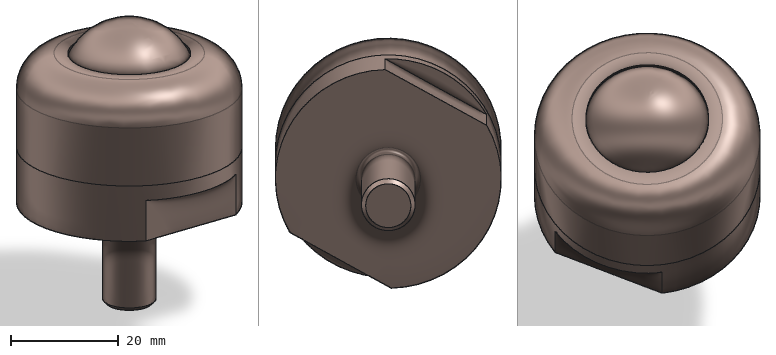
import cadquery as cq
import math

body_diameter = 42.0
ball_top_z = 56.0
ball_radius = 12.7
stud_radius = 5.0
stud_length = 20.0
tip_chamfer = 0.8
root_fillet = 1.0
base_height = 11.0
flat_height = 8.0
flat_distance = 18.0
cap_height = 18.55
cap_fillet = 7.0
opening_radius = 11.4

body_radius = body_diameter / 2
base_top_z = stud_length + base_height
cap_top_z = base_top_z + cap_height
ball_center_z = ball_top_z - ball_radius
seat_edge_z = ball_center_z + math.sqrt(ball_radius**2 - opening_radius**2)


def make_ball():
    return cq.Workplane("XY").sphere(ball_radius).translate((0, 0, ball_center_z))


def make_stud():
    """Revolved stud with a chamfered tip and a concave fillet under the base."""
    fillet_offset = root_fillet * (1 - math.sqrt(0.5))
    fillet_middle = (stud_radius + fillet_offset, stud_length - fillet_offset)
    fillet_end = (stud_radius + root_fillet, stud_length)
    return (
        cq.Workplane("XZ")
        .lineTo(stud_radius - tip_chamfer, 0)
        .lineTo(stud_radius, tip_chamfer)
        .lineTo(stud_radius, stud_length - root_fillet)
        .threePointArc(fillet_middle, fillet_end)
        .lineTo(0, stud_length)
        .close()
        .revolve(360, (0, 0, 0), (0, 1, 0))
    )


def make_base(ball):
    """Round base with two wrench flats, its stud, and a seat for the ball."""
    drum = cq.Workplane("XY").workplane(offset=stud_length).circle(body_radius).extrude(base_height)
    flat_depth = body_radius - flat_distance
    for side in (-1, 1):
        flat_cut = cq.Workplane("XY").box(
            flat_depth, body_diameter, flat_height, centered=(True, True, False)
        )
        flat_x = side * (flat_distance + flat_depth / 2)
        drum = drum.cut(flat_cut.translate((flat_x, 0, stud_length)))
    return drum.union(make_stud()).cut(ball)


def make_cap(ball):
    """Rounded cap with a spherical seat and a straight opening above it."""
    shell = cq.Workplane("XY").workplane(offset=base_top_z).circle(body_radius).extrude(cap_height)
    shell = shell.faces(">Z").edges().fillet(cap_fillet)
    opening = (
        cq.Workplane("XY")
        .workplane(offset=seat_edge_z)
        .circle(opening_radius)
        .extrude(cap_top_z - seat_edge_z)
    )
    return shell.cut(ball).cut(opening)


ball = make_ball()
base = make_base(ball)
cap = make_cap(ball)

result = cq.Compound.makeCompound([*base.solids().vals(), *cap.solids().vals(), ball.val()])